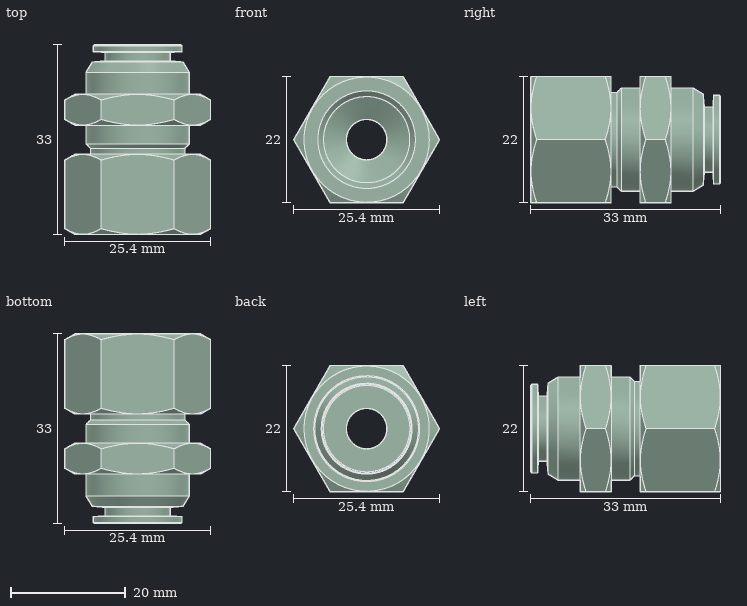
import cadquery as cq
import math

total_length = 33.05
hex_across_flats = 22.0
hex_across_corners = hex_across_flats / math.cos(math.pi / 6)
hex_chamfer_angle = math.radians(30)
face_inset = 0.1

socket_hex_end = 14.0
neck_end = 15.0
body_start = 15.8
nut_start = 19.0
nut_end = 24.45
body_end = 28.25
body_cone_end = 30.05
sleeve_start = 30.25
sleeve_end = 31.7
flange_start = 31.83

neck_diameter = 16.5
body_diameter = 18.05
body_tip_diameter = 15.83
sleeve_diameter = 11.4
flange_diameter = 15.5
flange_chamfer = 0.23
nut_bore_chamfer = 0.2

mouth_diameter = 17.0
thread_diameter = 15.0
through_diameter = 7.0
mouth_depth = (mouth_diameter - thread_diameter) / 2
thread_depth = 12.0
drill_tip_angle = math.radians(59)
drill_tip_depth = (thread_diameter - through_diameter) / 2 / math.tan(drill_tip_angle)


def revolve_profile(points):
    """Revolve (radius, station) points around the Y axis."""
    return cq.Workplane("XY").polyline(points).close().revolve(360, (0, 0, 0), (0, 1, 0))


def chamfered_hex(start, end):
    """Hexagonal prism with corners on X and conical chamfers on both ends."""
    prism = (
        cq.Workplane("XZ", origin=(0, start, 0))
        .polygon(6, hex_across_corners)
        .extrude(start - end)
    )
    corner_radius = hex_across_corners / 2
    face_radius = hex_across_flats / 2 - face_inset
    drop = (corner_radius - face_radius) * math.tan(hex_chamfer_angle)
    envelope = revolve_profile([
        (0, start),
        (face_radius, start),
        (corner_radius, start + drop),
        (corner_radius, end - drop),
        (face_radius, end),
        (0, end),
    ])
    return prism.intersect(envelope)


turned_body = revolve_profile([
    (0, 0),
    (neck_diameter / 2, 0),
    (neck_diameter / 2, neck_end),
    (body_diameter / 2, body_start),
    (body_diameter / 2, body_end),
    (body_tip_diameter / 2, body_cone_end),
    (sleeve_diameter / 2, sleeve_start),
    (sleeve_diameter / 2, sleeve_end),
    (flange_diameter / 2, flange_start),
    (flange_diameter / 2, total_length - flange_chamfer),
    (flange_diameter / 2 - flange_chamfer, total_length),
    (0, total_length),
])

bore = revolve_profile([
    (0, 0),
    (mouth_diameter / 2, 0),
    (thread_diameter / 2, mouth_depth),
    (thread_diameter / 2, thread_depth),
    (through_diameter / 2, thread_depth + drill_tip_depth),
    (through_diameter / 2, total_length),
    (0, total_length),
])

socket_hex = chamfered_hex(0, socket_hex_end)

body_radius = body_diameter / 2
nut_bore = revolve_profile([
    (0, nut_start),
    (body_radius + nut_bore_chamfer, nut_start),
    (body_radius, nut_start + nut_bore_chamfer),
    (body_radius, nut_end - nut_bore_chamfer),
    (body_radius + nut_bore_chamfer, nut_end),
    (0, nut_end),
])
lock_nut = chamfered_hex(nut_start, nut_end).cut(nut_bore)

centered = turned_body.union(socket_hex).union(lock_nut).cut(bore)
result = centered.translate((0, -total_length / 2, 0))